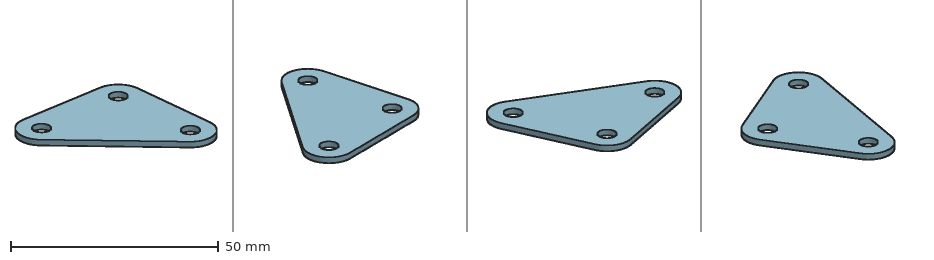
import cadquery as cq
import math

side = 38.1
thickness = 1.6
corner_radius = 6.35
hole_diameter = 4.65

half_side = side / 2
center_offset = half_side - corner_radius
diagonal_reach = corner_radius * math.sqrt(0.5)

hole_centers = [
    (-center_offset, center_offset),
    (center_offset, center_offset),
    (-center_offset, -center_offset),
]


def make_plate():
    """Right-angled triangular plate with tangent rounded corners."""
    return (
        cq.Workplane("XY")
        .workplane(offset=-thickness / 2)
        .moveTo(-half_side, -center_offset)
        .lineTo(-half_side, center_offset)
        .threePointArc(
            (-center_offset - diagonal_reach, center_offset + diagonal_reach),
            (-center_offset, half_side),
        )
        .lineTo(center_offset, half_side)
        .threePointArc(
            (half_side, center_offset),
            (center_offset + diagonal_reach, center_offset - diagonal_reach),
        )
        .lineTo(-center_offset + diagonal_reach, -center_offset - diagonal_reach)
        .threePointArc((-center_offset, -half_side), (-half_side, -center_offset))
        .close()
        .extrude(thickness)
    )


def drill_holes(plate):
    """Cut a through hole at every corner centre."""
    return plate.faces(">Z").workplane(origin=(0, 0, 0)).pushPoints(hole_centers).hole(hole_diameter)


result = drill_holes(make_plate())